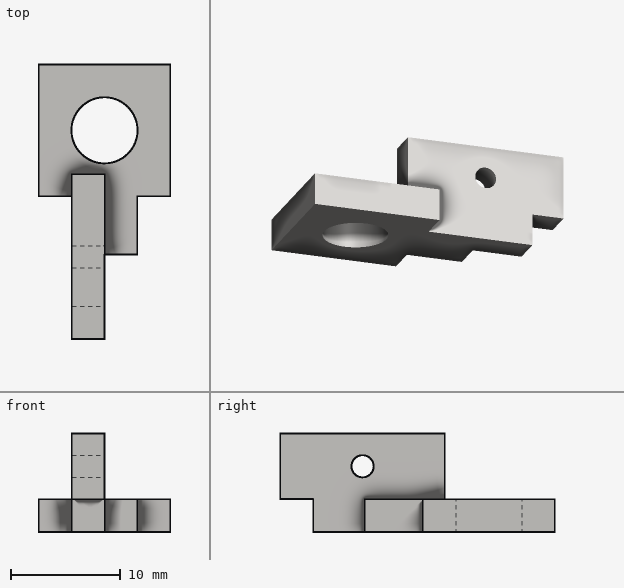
import cadquery as cq

total_length = 25
pad_side = 12
thickness = 3
eye_diameter = 6

total_height = 9
blade_length = 15
blade_hole_diameter = 2
tongue_front = 3
short_tongue_length = 5.3

pad_front = total_length - pad_side
center_x = pad_side / 2
blade_left = center_x - thickness
blade_height = total_height - thickness


def box(x, y, z, width, length, height):
    """Box given by its lowest corner and its sizes along X, Y and Z."""
    return cq.Workplane("XY").box(width, length, height, centered=False).translate((x, y, z))


pad = box(0, pad_front, 0, pad_side, pad_side, thickness)
eye = (
    cq.Workplane("XY")
    .center(center_x, pad_front + pad_side / 2)
    .circle(eye_diameter / 2)
    .extrude(thickness)
)

long_tongue = box(blade_left, tongue_front, 0, thickness, pad_front - tongue_front, thickness)
short_tongue = box(
    center_x, pad_front - short_tongue_length, 0, thickness, short_tongue_length, thickness
)

blade = box(blade_left, 0, thickness, thickness, blade_length, blade_height)
blade_hole = (
    cq.Workplane("YZ", origin=(blade_left, blade_length / 2, thickness + blade_height / 2))
    .circle(blade_hole_diameter / 2)
    .extrude(thickness)
)

result = pad.cut(eye).union(long_tongue).union(short_tongue).union(blade).cut(blade_hole)